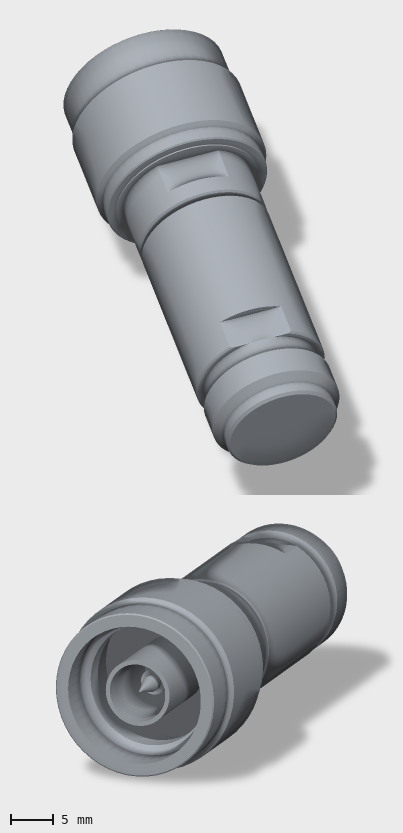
import cadquery as cq

total_length = 53.25

nut_radius = 9.9
nut_end_chamfer = 0.15
nut_rear = 16.85
grip_radius = 10.5
grip_start = 4.75
grip_end = 15.1
grip_rise = grip_radius - nut_radius
retainer_radius = 8.8
retainer_end = 17.0

body_radius = 7.95
body_chamfer = 0.2
collar_end = 23.25
neck_radius = 4.8
barrel_start = 23.8
barrel_end = 44.95

rear_radius = 7.15
band_radius = 7.85
band_start = 46.65
band_rise = band_radius - rear_radius
band_end = 50.7
tail_radius = 6.8
band_fall = band_radius - tail_radius
tail_chamfer = 0.3

flat_height = 7.0
collar_flat_end = 21.05
barrel_flat_start = 40.95

bore_radius = 8.3
inner_bore_radius = 7.35
bore_taper_start = 4.05
bore_taper_end = bore_taper_start + (bore_radius - inner_bore_radius)
undercut_start = 7.45
undercut_radius = bore_radius
socket_depth = 12.8
ferrule_front = 1.05
ferrule_outer_radius = 4.0
ferrule_inner_radius = 3.45
pin_front = 1.5
pin_radius = 0.95
pin_taper_length = 3.75
pin_shoulder_radius = 1.55
pin_shoulder_front = 6.4


def revolve_about_x(profile):
    """Turn a closed (X, radius) profile into a solid about the X axis."""
    return cq.Workplane("XY").polyline(profile).close().revolve(360, (0, 0, 0), (1, 0, 0))


def outer_body():
    return revolve_about_x([
        (0, 0),
        (0, nut_radius - nut_end_chamfer),
        (nut_end_chamfer, nut_radius),
        (grip_start, nut_radius),
        (grip_start + grip_rise, grip_radius),
        (grip_end - grip_rise, grip_radius),
        (grip_end, nut_radius),
        (nut_rear - nut_end_chamfer, nut_radius),
        (nut_rear, nut_radius - nut_end_chamfer),
        (nut_rear, retainer_radius),
        (retainer_end, retainer_radius),
        (retainer_end, body_radius),
        (collar_end - body_chamfer, body_radius),
        (collar_end, body_radius - body_chamfer),
        (collar_end, neck_radius),
        (barrel_start, neck_radius),
        (barrel_start, body_radius - body_chamfer),
        (barrel_start + body_chamfer, body_radius),
        (barrel_end - body_chamfer, body_radius),
        (barrel_end, body_radius - body_chamfer),
        (barrel_end, rear_radius),
        (band_start, rear_radius),
        (band_start + band_rise, band_radius),
        (band_end, band_radius),
        (band_end + band_fall, tail_radius),
        (total_length - tail_chamfer, tail_radius),
        (total_length, tail_radius - tail_chamfer),
        (total_length, 0),
    ])


def socket_cavity():
    return revolve_about_x([
        (0, 0),
        (0, bore_radius),
        (bore_taper_start, bore_radius),
        (bore_taper_end, inner_bore_radius),
        (undercut_start, inner_bore_radius),
        (undercut_start, undercut_radius),
        (socket_depth, undercut_radius),
        (socket_depth, 0),
    ])


def ferrule():
    return (
        cq.Workplane("YZ", origin=(ferrule_front, 0, 0))
        .circle(ferrule_outer_radius)
        .circle(ferrule_inner_radius)
        .extrude(socket_depth - ferrule_front)
    )


def pin():
    return revolve_about_x([
        (pin_front, 0),
        (pin_front + pin_taper_length, pin_radius),
        (pin_shoulder_front, pin_radius),
        (pin_shoulder_front, pin_shoulder_radius),
        (socket_depth, pin_shoulder_radius),
        (socket_depth, 0),
    ])


def flat_pair(start, end):
    """Material outside a pair of flats parallel to XY, between two X positions."""
    size = 2 * body_radius
    sleeve = cq.Workplane("XY").box(end - start, size, size)
    core = cq.Workplane("XY").box(end - start, size, 2 * flat_height)
    return sleeve.cut(core).translate(((start + end) / 2, 0, 0))


result = (
    outer_body()
    .cut(flat_pair(retainer_end, collar_flat_end))
    .cut(flat_pair(barrel_flat_start, barrel_end))
    .cut(socket_cavity())
    .union(ferrule())
    .union(pin())
)